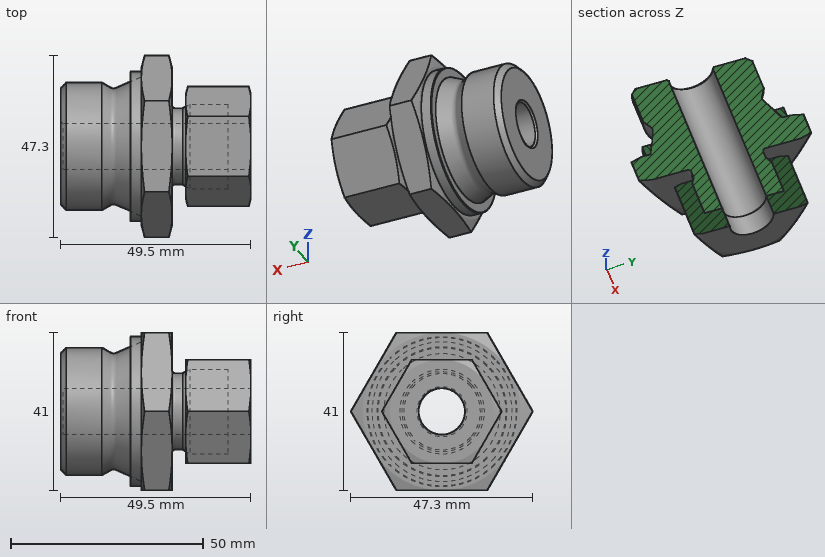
import cadquery as cq
import math


total_length = 49.5
thread_end = 10.75
seal_start = 18.1
seal_width = 2.9
hex_width = 8.0
nut_length = 17.0
socket_depth = 11.0
thread_chamfer = 1.5
bore_chamfer = 0.5
seal_chamfer = 0.2
collar_neck_fillet = 0.8

port_thread_diameter = 33.25
groove_diameter = 30.25
seal_diameter = 39.0
bore_diameter = 12.0
neck_diameter = 19.9
spigot_diameter = 22.0
collar_across_flats = 41.0
nut_across_flats = 27.0

groove_radius = 1.6
thread_runout_angle = math.radians(30)
seat_angle = math.radians(24)
neck_flare_angle = math.radians(30)
hex_chamfer_angle = math.radians(15)

collar_start = seal_start + seal_width
collar_end = collar_start + hex_width
nut_start = total_length - nut_length
socket_end = nut_start + socket_depth
port_radius = port_thread_diameter / 2
groove_floor = groove_diameter / 2
neck_radius = neck_diameter / 2
spigot_radius = spigot_diameter / 2
bore_radius = bore_diameter / 2
seal_radius = seal_diameter / 2

runout_foot_radius = groove_floor + groove_radius * (1 - math.cos(thread_runout_angle))
runout_foot_x = thread_end + (port_radius - runout_foot_radius) / math.tan(thread_runout_angle)
groove_x = runout_foot_x + groove_radius * math.sin(thread_runout_angle)
seat_foot_x = groove_x + groove_radius * math.sin(seat_angle)
seat_foot_radius = groove_floor + groove_radius * (1 - math.cos(seat_angle))

visible_flare_length = 0.8
flare_start = nut_start - visible_flare_length
flare_end = flare_start + (spigot_radius - neck_radius) / math.tan(neck_flare_angle)
nut_mouth_radius = neck_radius + visible_flare_length * math.tan(neck_flare_angle)


def seat_radius(x):
    """Radius of the seat cone at position x."""
    return seat_foot_radius + (x - seat_foot_x) * math.tan(seat_angle)


def revolve_about_x(profile):
    """Turn a closed XY profile about the X axis."""
    return profile.close().revolve(360, (0, 0, 0), (1, 0, 0))


def chamfered_hex(start, end, across_flats):
    """Hexagonal prism along X with corners on +-Y and both ends turned to a shallow cone."""
    corner_radius = across_flats / 2 / math.cos(math.radians(30))
    face_radius = across_flats / 2
    cone_length = (corner_radius - face_radius) * math.tan(hex_chamfer_angle)
    prism = (
        cq.Workplane("YZ", origin=(start, 0, 0))
        .polygon(6, 2 * corner_radius)
        .extrude(end - start)
    )
    envelope = revolve_about_x(
        cq.Workplane("XY")
        .moveTo(start, 0)
        .lineTo(start, face_radius)
        .lineTo(start + cone_length, corner_radius)
        .lineTo(end - cone_length, corner_radius)
        .lineTo(end, face_radius)
        .lineTo(end, 0)
    )
    return prism.intersect(envelope)


def make_stud():
    """Port thread, groove, seal seat, hex collar, neck and spigot, bored through."""
    port_side = revolve_about_x(
        cq.Workplane("XY")
        .moveTo(0, 0)
        .lineTo(0, port_radius - thread_chamfer)
        .lineTo(thread_chamfer, port_radius)
        .lineTo(thread_end, port_radius)
        .lineTo(runout_foot_x, runout_foot_radius)
        .radiusArc((seat_foot_x, seat_foot_radius), -groove_radius)
        .lineTo(collar_start, seat_radius(collar_start))
        .lineTo(collar_start, 0)
    )
    collar = chamfered_hex(collar_start, collar_end, collar_across_flats)
    tube_side = revolve_about_x(
        cq.Workplane("XY")
        .moveTo(collar_end, 0)
        .lineTo(collar_end, neck_radius + collar_neck_fillet)
        .radiusArc((collar_end + collar_neck_fillet, neck_radius), -collar_neck_fillet)
        .lineTo(flare_start, neck_radius)
        .lineTo(flare_end, spigot_radius)
        .lineTo(socket_end, spigot_radius)
        .lineTo(socket_end, 0)
    )
    bore = revolve_about_x(
        cq.Workplane("XY")
        .moveTo(0, 0)
        .lineTo(0, bore_radius + bore_chamfer)
        .lineTo(bore_chamfer, bore_radius)
        .lineTo(socket_end, bore_radius)
        .lineTo(socket_end, 0)
    )
    return port_side.union(collar).union(tube_side).cut(bore)


def make_seal_ring():
    """Ring against the collar, with a conical hole that fits the stud's seat."""
    return revolve_about_x(
        cq.Workplane("XY")
        .moveTo(seal_start, seat_radius(seal_start))
        .lineTo(seal_start, seal_radius - seal_chamfer)
        .lineTo(seal_start + seal_chamfer, seal_radius)
        .lineTo(collar_start, seal_radius)
        .lineTo(collar_start, seat_radius(collar_start))
    )


def make_nut():
    """Hex nut with a socket that fits the stud's spigot and a tube hole through its end."""
    socket_and_hole = revolve_about_x(
        cq.Workplane("XY")
        .moveTo(nut_start, 0)
        .lineTo(nut_start, nut_mouth_radius)
        .lineTo(flare_end, spigot_radius)
        .lineTo(socket_end, spigot_radius)
        .lineTo(socket_end, bore_radius)
        .lineTo(total_length, bore_radius)
        .lineTo(total_length, 0)
    )
    return chamfered_hex(nut_start, total_length, nut_across_flats).cut(socket_and_hole)


stud = make_stud()
seal_ring = make_seal_ring()
nut = make_nut()

result = cq.Compound.makeCompound([stud.solids().val(), seal_ring.val(), nut.solids().val()])